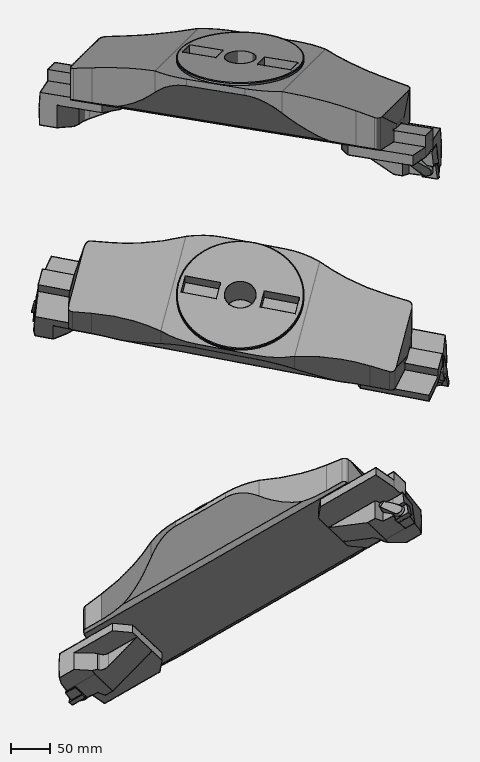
import cadquery as cq
import math


BEAM_LENGTH = 438.5
BEAM_WIDTH = 164.0
BEAM_HEIGHT = 69.5
END_WIDTH = 109.0
FLAT_HALF = 40.0
WAIST_RADIUS = 125.0
RIDGE_X = 87.0
END_CORNER_RADIUS = 6.5
NOSE_WIDTH = 25.0
NOSE_SETBACK = 8.0
END_TOP_X = 213.0
END_TOP_Z = 45.0
END_BEVEL_Z = 22.0
FLANK_TOP_Z = 60.5
FLANK_FOOT_HALF = 57.0
BOTTOM_CHAMFER_Z = 5.0
BOTTOM_HALF = 51.0

DISC_DIAMETER = 162
DISC_HEIGHT = 4.0
DISC_CHAMFER = 1.0
HOLE_DIAMETER = 40.0
HOLE_DEPTH = 43
POCKET_LENGTH = 46.0
POCKET_WIDTH = 25.0
POCKET_X = 51.5
POCKET_DEPTH = 15.5
TOP_Z = BEAM_HEIGHT + DISC_HEIGHT

CARTRIDGE_INNER_X = 153.5
CARTRIDGE_OUTER_X = 261.5
CORNER_X = 256.5
PLATE_FRONT_Y = -49.5
PLATE_BACK_Y = 43.0
PLATE_THICKNESS = 14.0
INNER_CHAMFER_FRONT = 14.0
INNER_CHAMFER_BACK = 18.5
KEY_FRONT_Y = -19.0
KEY_BACK_Y = 5.5
KEY_HEIGHT = 15.5
KEYWAY_HEIGHT = 17.5

HEAD_BOTTOM_Z = -47.0
HEAD_EDGE_Z = -45.5
HEAD_SLOPE_Y = 21.5
RAMP_FOOT_X = 216.5
WEB_FRONT_Y = -15.0
WEB_BACK_Y = 15.5
END_LEAN = 3.0
FACET_TOP_Z = -20.5
FACET_FOOT_Y = 34.5
FACET_CUT = 2.5
FACET_CUT_DEPTH = 5.5
SHOULDER_X = 233.5
SHOULDER_END_X = 210.5
SHOULDER_END_Y = 24.5
SHOULDER_BLEND_X = 200.0
RELIEF_X = 228.5
RELIEF_FLOOR_Y = -5.5

SEAT_X = 249.0
SEAT_FRONT_Y = -4.5
SEAT_BACK_Y = 20.5
SEAT_TOP_X = 264.0
SEAT_TOP_Z = -12.0
SEAT_BOTTOM_Z = -49.0
SEAT_OVERHANG = 4.5
SEAT_BACK_OFFSET = 4.0

INSERT_TIP_X = 270.0
INSERT_BOTTOM_Z = -51.0
INSERT_HEIGHT = 18.5
INSERT_LEAN = 2.5
INSERT_THICKNESS = 6.5

CLAMP_SCREW_X = 238.5
CLAMP_SCREW_Z = -26.0
CLAMP_NOSE_X = 256.0
CLAMP_NOSE_Z = -40.0
CLAMP_RADIUS = 8.0
CLAMP_THICKNESS = 14.0
CLAMP_NOSE_THICKNESS = 3.0
CLAMP_TAPER = 14
SHANK_DIAMETER = 8.0
SHANK_DEPTH = 21.5


def prism(points, bottom, top):
    """Upright prism on a plan outline, between two heights."""
    return cq.Workplane("XY").workplane(offset=bottom).polyline(points).close().extrude(top - bottom)


def end_to_end(shape):
    """The shape and its copy half a turn around Z."""
    return [shape, shape.rotate((0, 0, 0), (0, 0, 1), 180)]


def beam_plan():
    """Plan outline of the beam, extruded to full height with round end corners."""
    half_length = BEAM_LENGTH / 2
    half_width = BEAM_WIDTH / 2
    half_end = END_WIDTH / 2
    corner_x = half_length - NOSE_SETBACK
    turn = math.asin((RIDGE_X - FLAT_HALF) / WAIST_RADIUS)
    ridge_y = half_width - WAIST_RADIUS * (1 - math.cos(turn))
    neck_radius = (ridge_y - half_end) / (1 - math.cos(turn))
    neck_x = RIDGE_X + neck_radius * math.sin(turn)
    waist_mid = (
        FLAT_HALF + WAIST_RADIUS * math.sin(turn / 2),
        half_width - WAIST_RADIUS * (1 - math.cos(turn / 2)),
    )
    neck_mid = (
        neck_x - neck_radius * math.sin(turn / 2),
        half_end + neck_radius * (1 - math.cos(turn / 2)),
    )
    quarter = (
        cq.Workplane("XY")
        .moveTo(0, 0)
        .lineTo(0, half_width)
        .lineTo(FLAT_HALF, half_width)
        .threePointArc(waist_mid, (RIDGE_X, ridge_y))
        .threePointArc(neck_mid, (neck_x, half_end))
        .lineTo(corner_x, half_end)
        .lineTo(half_length, NOSE_WIDTH / 2)
        .lineTo(half_length, 0)
        .close()
        .extrude(BEAM_HEIGHT)
    )
    corner = cq.NearestToPointSelector((corner_x, half_end, BEAM_HEIGHT / 2))
    quarter = quarter.edges(corner).fillet(END_CORNER_RADIUS)
    half = quarter.union(quarter.mirror("XZ"))
    return half.union(half.mirror("YZ")).clean()


def beam_side_profile():
    """Sloping top and bevelled ends, extruded across the width."""
    half_length = BEAM_LENGTH / 2
    right_half = [
        (half_length, 0),
        (half_length, END_BEVEL_Z),
        (END_TOP_X, END_TOP_Z),
        (RIDGE_X, BEAM_HEIGHT),
    ]
    left_half = [(-x, z) for x, z in reversed(right_half)]
    return cq.Workplane("XZ").polyline(right_half + left_half).close().extrude(BEAM_WIDTH / 2, both=True)


def beam_cross_section():
    """Flanks that draw in towards the narrow underside, extruded along the length."""
    right_half = [
        (BOTTOM_HALF, 0),
        (FLANK_FOOT_HALF, BOTTOM_CHAMFER_Z),
        (BEAM_WIDTH / 2, FLANK_TOP_Z),
        (BEAM_WIDTH / 2, BEAM_HEIGHT),
    ]
    left_half = [(-y, z) for y, z in reversed(right_half)]
    return cq.Workplane("YZ").polyline(right_half + left_half).close().extrude(BEAM_LENGTH / 2, both=True)


def make_beam():
    beam = beam_plan().intersect(beam_side_profile()).intersect(beam_cross_section())
    disc = (
        cq.Workplane("XY")
        .workplane(offset=BEAM_HEIGHT)
        .circle(DISC_DIAMETER / 2)
        .extrude(DISC_HEIGHT)
        .faces(">Z")
        .chamfer(DISC_CHAMFER)
    )
    hole = (
        cq.Workplane("XY")
        .workplane(offset=TOP_Z - HOLE_DEPTH)
        .circle(HOLE_DIAMETER / 2)
        .extrude(HOLE_DEPTH)
    )
    pockets = (
        cq.Workplane("XY")
        .workplane(offset=TOP_Z - POCKET_DEPTH)
        .pushPoints([(-POCKET_X, 0), (POCKET_X, 0)])
        .rect(POCKET_LENGTH, POCKET_WIDTH)
        .extrude(POCKET_DEPTH)
    )
    beam = beam.union(disc).cut(hole).cut(pockets)
    for keyway in end_to_end(key_bar(BEAM_LENGTH / 2, KEYWAY_HEIGHT)):
        beam = beam.cut(keyway)
    return beam


def key_bar(outer_x, height):
    """Bar of the key's width, standing on the plate from its inner end to outer_x."""
    corners = [
        (CARTRIDGE_INNER_X, KEY_FRONT_Y),
        (outer_x, KEY_FRONT_Y),
        (outer_x, KEY_BACK_Y),
        (CARTRIDGE_INNER_X, KEY_BACK_Y),
    ]
    return prism(corners, 0, height)


def cartridge_plate():
    outline = [
        (CARTRIDGE_INNER_X, PLATE_FRONT_Y + INNER_CHAMFER_FRONT),
        (CARTRIDGE_INNER_X + INNER_CHAMFER_FRONT, PLATE_FRONT_Y),
        (CORNER_X, PLATE_FRONT_Y),
        (CARTRIDGE_OUTER_X, KEY_FRONT_Y),
        (CARTRIDGE_OUTER_X, KEY_BACK_Y),
        (CORNER_X, PLATE_BACK_Y),
        (CARTRIDGE_INNER_X + INNER_CHAMFER_BACK, PLATE_BACK_Y),
        (CARTRIDGE_INNER_X, PLATE_BACK_Y - INNER_CHAMFER_BACK),
    ]
    return prism(outline, -PLATE_THICKNESS, 0)


def cartridge_head():
    """Ramped web and wide head under the plate, with the relief beside the insert."""
    blend_run = SHOULDER_END_X - SHOULDER_BLEND_X
    blend_rise = SHOULDER_END_Y - WEB_BACK_Y
    blend_radius = (blend_run**2 + blend_rise**2) / (2 * blend_rise)
    half_turn = math.asin(blend_run / blend_radius) / 2
    blend_mid = (
        SHOULDER_BLEND_X + blend_radius * math.sin(half_turn),
        WEB_BACK_Y + blend_radius * (1 - math.cos(half_turn)),
    )
    head = (
        cq.Workplane("XY")
        .moveTo(CARTRIDGE_INNER_X, WEB_FRONT_Y)
        .lineTo(RELIEF_X, WEB_FRONT_Y)
        .lineTo(SHOULDER_X, RELIEF_FLOOR_Y)
        .lineTo(SEAT_X, SEAT_FRONT_Y)
        .lineTo(CARTRIDGE_OUTER_X, SEAT_FRONT_Y)
        .lineTo(CARTRIDGE_OUTER_X, KEY_BACK_Y)
        .lineTo(CORNER_X, PLATE_BACK_Y)
        .lineTo(SHOULDER_X, PLATE_BACK_Y)
        .lineTo(SHOULDER_END_X, SHOULDER_END_Y)
        .threePointArc(blend_mid, (SHOULDER_BLEND_X, WEB_BACK_Y))
        .lineTo(CARTRIDGE_INNER_X, WEB_BACK_Y)
        .close()
        .extrude(HEAD_BOTTOM_Z)
    )
    ramp_profile = [
        (CARTRIDGE_INNER_X, 0),
        (CARTRIDGE_OUTER_X, 0),
        (CARTRIDGE_OUTER_X, HEAD_BOTTOM_Z),
        (RAMP_FOOT_X, HEAD_BOTTOM_Z),
        (CARTRIDGE_INNER_X, -PLATE_THICKNESS),
    ]
    ramp = cq.Workplane("XZ").polyline(ramp_profile).close().extrude(PLATE_BACK_Y, both=True)
    return head.intersect(ramp)


def leaning_block(top_outline, top, bottom_outline, bottom):
    """Block with flat faces between a plan outline at its top and one at its bottom."""
    return (
        cq.Workplane("XY")
        .workplane(offset=top)
        .polyline(top_outline)
        .close()
        .workplane(offset=bottom - top)
        .polyline(bottom_outline)
        .close()
        .loft(ruled=True)
    )


def head_end():
    """Leaning end face of the head, between the insert seat and the outer corner."""

    def outline(middle_x, corner_x):
        return [
            (SEAT_X, KEY_BACK_Y),
            (middle_x, KEY_BACK_Y),
            (corner_x, PLATE_BACK_Y),
            (SEAT_X, PLATE_BACK_Y),
        ]

    return leaning_block(
        outline(CARTRIDGE_OUTER_X, CORNER_X),
        0,
        outline(CARTRIDGE_OUTER_X + END_LEAN, CORNER_X + END_LEAN),
        HEAD_BOTTOM_Z,
    )


def below_head():
    """Wedge that lets the bottom of the head rise to its outer side."""
    profile = [
        (HEAD_SLOPE_Y, HEAD_BOTTOM_Z),
        (PLATE_BACK_Y, HEAD_EDGE_Z),
        (PLATE_BACK_Y, HEAD_BOTTOM_Z),
    ]
    return cq.Workplane("YZ").polyline(profile).close().extrude(INSERT_TIP_X)


def corner_facet():
    """Block beyond the slanting facet on the lower outer corner of the head."""
    end_slant = (CARTRIDGE_OUTER_X - CORNER_X) / (PLATE_BACK_Y - KEY_BACK_Y)
    top_x = CORNER_X + END_LEAN * FACET_TOP_Z / HEAD_BOTTOM_Z
    corner_x = CORNER_X + END_LEAN
    top = cq.Vector(top_x, PLATE_BACK_Y, FACET_TOP_Z)
    side_foot = cq.Vector(corner_x - FACET_CUT, PLATE_BACK_Y, HEAD_BOTTOM_Z)
    end_foot = cq.Vector(
        corner_x + end_slant * (PLATE_BACK_Y - FACET_FOOT_Y),
        FACET_FOOT_Y,
        HEAD_BOTTOM_Z,
    )
    outward = (end_foot - top).cross(side_foot - top).normalized()
    triangle = cq.Wire.makePolygon([top, side_foot, end_foot], close=True)
    return cq.Workplane(cq.Solid.extrudeLinear(triangle, [], outward * FACET_CUT_DEPTH))


def insert_seat():
    """Block behind the insert that leans outwards to its bottom."""

    def outline(outer_x):
        return [
            (SEAT_X, SEAT_FRONT_Y),
            (outer_x, SEAT_FRONT_Y),
            (outer_x - SEAT_BACK_OFFSET, SEAT_BACK_Y),
            (SEAT_X, SEAT_BACK_Y),
        ]

    return leaning_block(
        outline(SEAT_TOP_X),
        SEAT_TOP_Z,
        outline(SEAT_TOP_X + SEAT_OVERHANG),
        SEAT_BOTTOM_Z,
    )


def insert_prism(front_y):
    """Prism on the insert's outline, from front_y to the back of the insert."""
    outline = [
        (SEAT_X, INSERT_BOTTOM_Z),
        (INSERT_TIP_X, INSERT_BOTTOM_Z),
        (INSERT_TIP_X - INSERT_LEAN, INSERT_BOTTOM_Z + INSERT_HEIGHT),
        (SEAT_X, INSERT_BOTTOM_Z + INSERT_HEIGHT),
    ]
    return (
        cq.Workplane("XZ", origin=(0, INSERT_THICKNESS, 0))
        .polyline(outline)
        .close()
        .extrude(INSERT_THICKNESS - front_y)
    )


def make_insert():
    return insert_prism(0)


def make_clamp():
    """Round-ended clamp that thins towards its nose, with a shank at its thick end."""
    run = CLAMP_NOSE_X - CLAMP_SCREW_X
    drop = CLAMP_NOSE_Z - CLAMP_SCREW_Z
    reach = math.hypot(run, drop)
    tilt = math.degrees(math.atan2(drop, run))
    bar = (
        cq.Workplane("XZ")
        .center(reach / 2, 0)
        .slot2D(reach + 2 * CLAMP_RADIUS, 2 * CLAMP_RADIUS)
        .extrude(CLAMP_THICKNESS, taper=CLAMP_TAPER)
    )
    wedge_profile = [
        (-CLAMP_RADIUS, 0),
        (reach + CLAMP_RADIUS, 0),
        (reach + CLAMP_RADIUS, -CLAMP_NOSE_THICKNESS),
        (0, -CLAMP_THICKNESS),
        (-CLAMP_RADIUS, -CLAMP_THICKNESS),
    ]
    wedge = cq.Workplane("XY").polyline(wedge_profile).close().extrude(CLAMP_RADIUS, both=True)
    shank = cq.Workplane("XZ").circle(SHANK_DIAMETER / 2).extrude(-SHANK_DEPTH)
    clamp = bar.intersect(wedge).union(shank)
    return clamp.rotate((0, 0, 0), (0, 1, 0), -tilt).translate((CLAMP_SCREW_X, 0, CLAMP_SCREW_Z))


def make_cartridge(clamp):
    cartridge = cartridge_plate().union(key_bar(CARTRIDGE_OUTER_X, KEY_HEIGHT))
    head = cartridge_head().union(head_end()).cut(below_head()).cut(corner_facet())
    cartridge = cartridge.union(head).union(insert_seat())
    return cartridge.cut(insert_prism(SEAT_FRONT_Y)).cut(clamp)


beam = make_beam()
clamp = make_clamp()
cartridges = end_to_end(make_cartridge(clamp))
inserts = end_to_end(make_insert())
clamps = end_to_end(clamp)

result = cq.Compound.makeCompound([body.val() for body in [beam, *cartridges, *inserts, *clamps]])